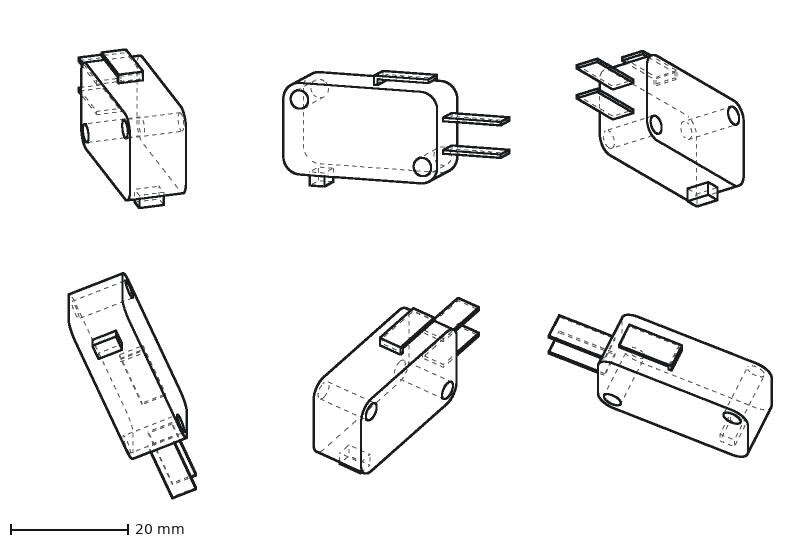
import cadquery as cq

total_length = 38.5
housing_length = 28.03
housing_depth = 10.0
housing_height = 15.98
corner_radius = 3.0

hole_diameter = 3.2
upper_hole_from_right = 2.95
upper_hole_from_top = 2.9
lower_hole_from_left = 2.7
lower_hole_from_bottom = 2.9

terminal_width = 4.4
terminal_thickness = 0.6
blade_length = total_length - housing_length
blade_bottoms = (4.85, 10.5)
hook_length = 9.85
hook_right = 12.5
hook_rise = 1.6

plunger_length = 2.7
plunger_drop = 2.4
plunger_from_right = 3.77


def block(left, bottom, length, height, depth):
    """Box placed by its left and bottom faces and centred on Y = 0."""
    return (
        cq.Workplane("XY")
        .box(length, depth, height, centered=(False, True, False))
        .translate((left, 0, bottom))
    )


def make_housing():
    """Rounded housing with the two through holes."""
    hole_centers = [
        (housing_length - upper_hole_from_right, housing_height - upper_hole_from_top),
        (lower_hole_from_left, lower_hole_from_bottom),
    ]
    housing = block(0, 0, housing_length, housing_height, housing_depth)
    housing = housing.edges("|Y").fillet(corner_radius)
    holes = (
        cq.Workplane("XZ")
        .pushPoints(hole_centers)
        .circle(hole_diameter / 2)
        .extrude(housing_depth / 2, both=True)
    )
    return housing.cut(holes)


def make_hook():
    """L-shaped terminal standing on the top face and bent to the left."""
    stem = block(
        hook_right - terminal_thickness, housing_height, terminal_thickness, hook_rise, terminal_width
    )
    arm = block(
        hook_right - hook_length,
        housing_height + hook_rise - terminal_thickness,
        hook_length,
        terminal_thickness,
        terminal_width,
    )
    return stem.union(arm)


def make_plunger():
    """Plain rectangular plunger under the bottom face."""
    left = housing_length - plunger_from_right - plunger_length
    return block(left, -plunger_drop, plunger_length, plunger_drop, terminal_width)


result = make_housing().union(make_hook()).union(make_plunger())
for blade_bottom in blade_bottoms:
    blade = block(-blade_length, blade_bottom, blade_length, terminal_thickness, terminal_width)
    result = result.union(blade)